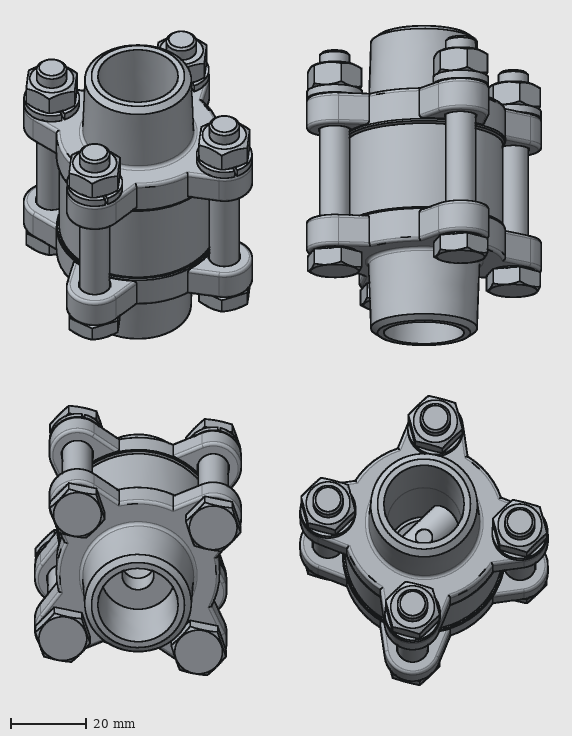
import cadquery as cq
import math

TOTAL_HEIGHT = 81.5
OVERALL_WIDTH = 55.2
HALF_HEIGHT = TOTAL_HEIGHT / 2
DRAFT = math.tan(math.radians(2))
FILLET = 0.9

BODY_RADIUS = 42.0 / 2
GROOVE_HEIGHT = 0.6
GROOVE_RADIUS = 38.0 / 2

FLANGE_INNER = 11.9
FLANGE_OUTER = 21.1
FLANGE_RADIUS = 43.4 / 2
RIM_INSET = 0.25
RIM_HEIGHT = 0.5

LOBE_INNER = 12.6
LOBE_RADIUS = 7.5
LOBE_HALF_TAPER = math.radians(15)
LOBE_ROOT = 16.3

BOLT_X = OVERALL_WIDTH / 2 - LOBE_RADIUS
BOLT_Y = 16.05
BOLT_CIRCLE_RADIUS = math.hypot(BOLT_X, BOLT_Y)
BOLT_START_ANGLE = math.degrees(math.atan2(BOLT_Y, BOLT_X))
BOLT_COUNT = 4

PIPE_TIP_RADIUS = 14.2
PIPE_BEVEL_HEIGHT = 1.3
PIPE_FACE_RADIUS = 12.4

BORE_MOUTH_RADIUS = 10.7
BORE_RADIUS = 9.95
BORE_TAPER_DEPTH = (BORE_MOUTH_RADIUS - BORE_RADIUS) / DRAFT
SEAT_LEVEL = -FLANGE_INNER
SEAT_RADIUS = 18.0 / 2
SEAT_SLOPE = math.radians(20)
PORT_RADIUS = 4.2
SEAT_DEPTH = (SEAT_RADIUS - PORT_RADIUS) * math.tan(SEAT_SLOPE)

CROSSBAR_RADIUS = 10.0 / 2
CROSSBAR_LENGTH = 21.5
PIN_RADIUS = 4.5 / 2

BOLT_RADIUS = 8.0 / 2
BOLT_HOLE_RADIUS = 8.5 / 2
BOLT_TOP = 33.8
BOLT_TIP_CHAMFER = 0.65
HEX_FLATS = 12.95
HEX_CORNERS = HEX_FLATS / math.cos(math.pi / 6)
HEX_CONE_SLOPE = math.tan(math.radians(30))
WASHER_FACE_RADIUS = 11.65 / 2
WASHER_FACE_HEIGHT = 0.65
HEAD_HEIGHT = 4.65
HEAD_CONE_RADIUS = 6.35
WASHER_RADIUS = 14.75 / 2
WASHER_HEIGHT = 2.0
WASHER_SPLIT = 0.7
NUT_HEIGHT = 6.85


def cylinder(radius, bottom, top):
    return cq.Workplane("XY").workplane(offset=bottom).circle(radius).extrude(top - bottom)


def lobe():
    """One bolt lobe of the upper flange, pointing along +X and rounded on its edges."""
    cos_taper = math.cos(LOBE_HALF_TAPER)
    sin_taper = math.sin(LOBE_HALF_TAPER)
    tangent_x = BOLT_CIRCLE_RADIUS + LOBE_RADIUS * sin_taper
    tangent_y = LOBE_RADIUS * cos_taper
    root_y = tangent_y + (tangent_x - LOBE_ROOT) * math.tan(LOBE_HALF_TAPER)
    return (
        cq.Workplane("XY")
        .workplane(offset=LOBE_INNER)
        .moveTo(LOBE_ROOT, -root_y)
        .lineTo(tangent_x, -tangent_y)
        .threePointArc((BOLT_CIRCLE_RADIUS + LOBE_RADIUS, 0), (tangent_x, tangent_y))
        .lineTo(LOBE_ROOT, root_y)
        .close()
        .extrude(FLANGE_OUTER - LOBE_INNER)
        .faces("<Z or >Z")
        .edges()
        .fillet(FILLET)
    )


def bolt_angle(index):
    return BOLT_START_ANGLE + index * 360 / BOLT_COUNT


def around_bolts(feature):
    """Copies of a feature made along +X, one at each bolt position and turned with it."""
    return [
        feature.rotate((0, 0, 0), (0, 0, 1), bolt_angle(index))
        for index in range(BOLT_COUNT)
    ]


def end_fitting():
    """Upper pipe end with its round flange and four lobes, still without the bore."""
    bevel_level = HALF_HEIGHT - PIPE_BEVEL_HEIGHT
    neck_level = FLANGE_OUTER + FILLET
    neck_radius = PIPE_TIP_RADIUS + (bevel_level - neck_level) * DRAFT
    shoulder_level = FLANGE_OUTER - FILLET
    arc_reach = FILLET * (1 - math.sqrt(0.5))
    profile = (
        cq.Workplane("XZ")
        .moveTo(0, FLANGE_INNER)
        .lineTo(FLANGE_RADIUS - RIM_INSET, FLANGE_INNER)
        .lineTo(FLANGE_RADIUS, FLANGE_INNER + RIM_HEIGHT)
        .lineTo(FLANGE_RADIUS, shoulder_level)
        .threePointArc(
            (FLANGE_RADIUS - arc_reach, FLANGE_OUTER - arc_reach),
            (FLANGE_RADIUS - FILLET, FLANGE_OUTER),
        )
        .lineTo(neck_radius + FILLET, FLANGE_OUTER)
        .threePointArc(
            (neck_radius + arc_reach, FLANGE_OUTER + arc_reach),
            (neck_radius, neck_level),
        )
        .lineTo(PIPE_TIP_RADIUS, bevel_level)
        .lineTo(PIPE_FACE_RADIUS, HALF_HEIGHT)
        .lineTo(0, HALF_HEIGHT)
        .close()
    )
    fitting = profile.revolve(360, (0, 0), (0, 1))
    for single_lobe in around_bolts(lobe()):
        fitting = fitting.union(single_lobe)
    hole = cylinder(BOLT_HOLE_RADIUS, LOBE_INNER, FLANGE_OUTER).translate((BOLT_CIRCLE_RADIUS, 0, 0))
    for single_hole in around_bolts(hole):
        fitting = fitting.cut(single_hole)
    return fitting


def flow_passage():
    """Bore from the top down to the conical seat, the port below it and the lower bore."""
    return (
        cq.Workplane("XZ")
        .moveTo(0, HALF_HEIGHT)
        .lineTo(BORE_MOUTH_RADIUS, HALF_HEIGHT)
        .lineTo(BORE_RADIUS, HALF_HEIGHT - BORE_TAPER_DEPTH)
        .lineTo(BORE_RADIUS, SEAT_LEVEL)
        .lineTo(SEAT_RADIUS, SEAT_LEVEL)
        .lineTo(PORT_RADIUS, SEAT_LEVEL - SEAT_DEPTH)
        .lineTo(PORT_RADIUS, -FLANGE_OUTER)
        .lineTo(BORE_RADIUS, -FLANGE_OUTER)
        .lineTo(BORE_RADIUS, BORE_TAPER_DEPTH - HALF_HEIGHT)
        .lineTo(BORE_MOUTH_RADIUS, -HALF_HEIGHT)
        .lineTo(0, -HALF_HEIGHT)
        .close()
        .revolve(360, (0, 0), (0, 1))
    )


def crossbar():
    """Bar along Y across the passage, with an upright pin ending level with its crest."""
    bar = cq.Workplane("XZ").circle(CROSSBAR_RADIUS).extrude(CROSSBAR_LENGTH / 2, both=True)
    return bar.union(cylinder(PIN_RADIUS, 0, CROSSBAR_RADIUS))


def hexagon(bottom, height):
    """Hexagonal prism with two of its flats facing +X and -X."""
    prism = cq.Workplane("XY").polygon(6, HEX_CORNERS).extrude(height)
    return prism.rotate((0, 0, 0), (0, 0, 1), 30).translate((0, 0, bottom))


def corner_cone(face_radius, face_level, inward):
    """Turned blank whose 30 degree cone bevels hexagon corners; `inward` is a signed height."""
    blank_radius = HEX_CORNERS
    cone_height = math.copysign((blank_radius - face_radius) * HEX_CONE_SLOPE, inward)
    base_level = face_level + cone_height + inward
    return (
        cq.Workplane("XZ")
        .moveTo(0, face_level)
        .lineTo(face_radius, face_level)
        .lineTo(blank_radius, face_level + cone_height)
        .lineTo(blank_radius, base_level)
        .lineTo(0, base_level)
        .close()
        .revolve(360, (0, 0), (0, 1))
    )


def bolt_set():
    """Bolt with head below, split lock washer and nut above, centred on the Z axis.

    The hexagon flats and the washer split face +X.
    """
    head_top = -FLANGE_OUTER - WASHER_FACE_HEIGHT
    head_bottom = head_top - HEAD_HEIGHT
    nut_bottom = FLANGE_OUTER + WASHER_HEIGHT
    nut_top = nut_bottom + NUT_HEIGHT

    shank = cylinder(BOLT_RADIUS, head_bottom, BOLT_TOP).faces(">Z").chamfer(BOLT_TIP_CHAMFER)
    head = hexagon(head_bottom, HEAD_HEIGHT)
    head = head.intersect(corner_cone(HEAD_CONE_RADIUS, head_bottom, HEAD_HEIGHT))
    washer_face = cylinder(WASHER_FACE_RADIUS, head_top, -FLANGE_OUTER)

    washer = cylinder(WASHER_RADIUS, FLANGE_OUTER, nut_bottom)
    split = cq.Workplane("XY").box(
        WASHER_RADIUS, WASHER_SPLIT, WASHER_HEIGHT, centered=(False, True, False)
    )
    washer = washer.cut(split.translate((0, 0, FLANGE_OUTER)))

    nut = hexagon(nut_bottom, NUT_HEIGHT)
    nut = nut.intersect(corner_cone(WASHER_FACE_RADIUS, nut_top, -NUT_HEIGHT))
    nut = nut.intersect(corner_cone(WASHER_FACE_RADIUS, nut_bottom, NUT_HEIGHT))
    return shank.union(head).union(washer_face).union(washer).union(nut)


upper_fitting = end_fitting()
lower_fitting = upper_fitting.mirror("XY")
body = cylinder(BODY_RADIUS, -FLANGE_INNER, FLANGE_INNER - GROOVE_HEIGHT)
body = body.union(cylinder(GROOVE_RADIUS, 0, FLANGE_INNER))
valve = body.union(upper_fitting).union(lower_fitting).cut(flow_passage()).union(crossbar())

bolt = bolt_set()
for index in range(BOLT_COUNT):
    direction = math.radians(bolt_angle(index))
    valve = valve.union(
        bolt.translate(
            (BOLT_CIRCLE_RADIUS * math.cos(direction), BOLT_CIRCLE_RADIUS * math.sin(direction), 0)
        )
    )
result = valve